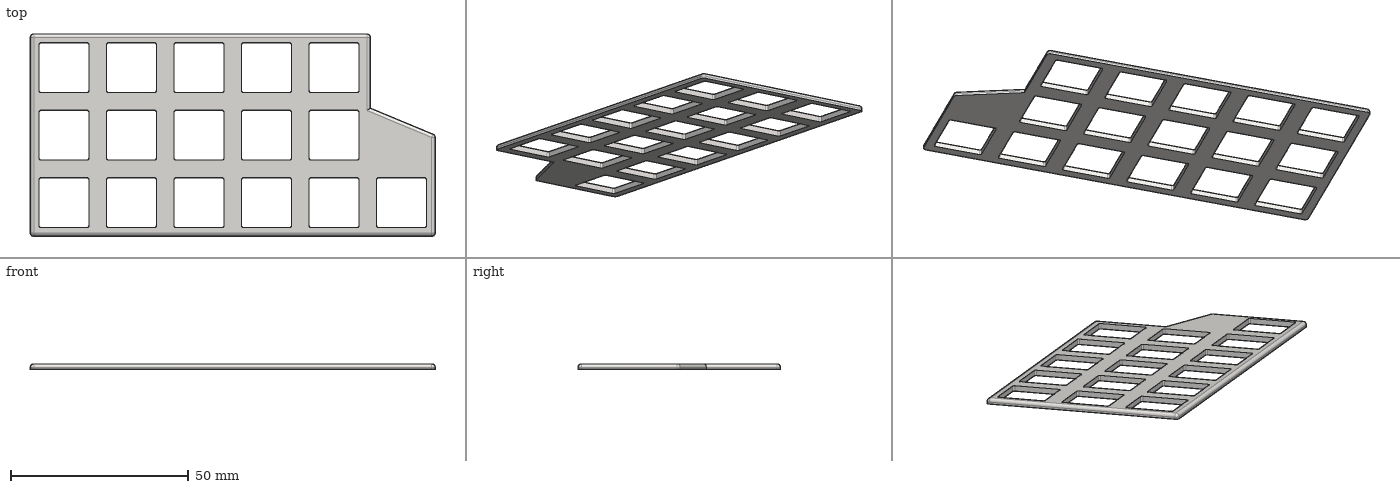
import cadquery as cq

key_pitch = 19.05
columns = 6
rows = 3
short_row_keys = columns - 1

plate_length = columns * key_pitch
plate_width = rows * key_pitch
plate_thickness = 1.6
edge_radius = 1.0

step_margin = 0.75
step_x = short_row_keys * key_pitch + step_margin
shoulder_high_y = 36.2
shoulder_low_y = 1.5 * key_pitch

opening_size = 14.0
opening_corner_radius = 0.5


def make_plate():
    """Plate with rounded convex corners, a sharp inner corner and a rounded top rim."""
    outline = [
        (0, 0),
        (plate_length, 0),
        (plate_length, shoulder_low_y),
        (step_x, shoulder_high_y),
        (step_x, plate_width),
        (0, plate_width),
    ]
    blank = cq.Workplane("XY").polyline(outline).close().extrude(plate_thickness)
    inner_corner = cq.selectors.NearestToPointSelector(
        (step_x, shoulder_high_y, plate_thickness / 2)
    )
    convex_corners = cq.selectors.SubtractSelector(
        cq.selectors.ParallelDirSelector(cq.Vector(0, 0, 1)), inner_corner
    )
    rounded = blank.edges(convex_corners).fillet(edge_radius)
    return rounded.faces(">Z").edges().fillet(edge_radius)


def key_centres():
    """Centres of the openings: a full bottom row and shorter rows above it."""
    centres = []
    for row in range(rows):
        keys_in_row = columns if row == 0 else short_row_keys
        for column in range(keys_in_row):
            centres.append(((column + 0.5) * key_pitch, (row + 0.5) * key_pitch))
    return centres


def make_openings():
    """Square through-openings with slightly rounded corners."""
    return (
        cq.Workplane("XY")
        .pushPoints(key_centres())
        .rect(opening_size, opening_size)
        .extrude(plate_thickness)
        .edges("|Z")
        .fillet(opening_corner_radius)
    )


result = make_plate().cut(make_openings())